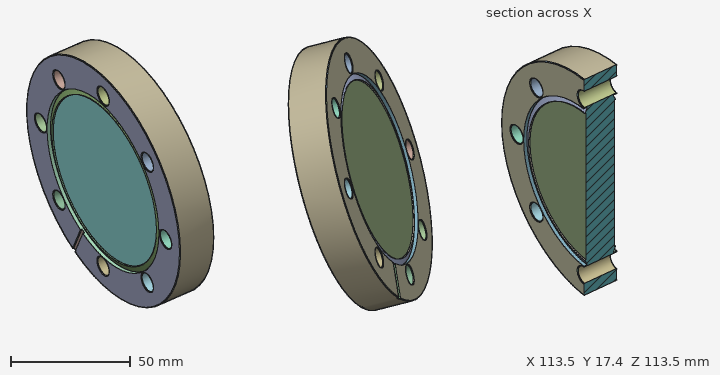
import cadquery as cq

flange_diameter = 113.5
thickness = 17.4
rim_chamfer = 0.3

bolt_count = 8
bolt_circle_diameter = 92.2
bolt_hole_diameter = 8.4
bolt_hole_chamfer = 0.3

recess_diameter = 82.5
recess_depth = 1.7
knife_diameter = 77.2
knife_depth = 0.6
floor_depth = 1.1
floor_diameter = 76.7

leak_groove_width = 1.9
leak_groove_depth = 0.8
leak_groove_angle = 270 - 180 / bolt_count

flange_radius = flange_diameter / 2
face_height = thickness / 2


def make_body():
    disc = cq.Workplane("XY", origin=(0, 0, -face_height)).circle(flange_radius).extrude(thickness)
    return disc.faces("|Z").edges().chamfer(rim_chamfer)


def make_bolt_holes():
    """Eight through-hole cutters, flared at both ends."""
    radius = bolt_hole_diameter / 2
    flared_radius = radius + bolt_hole_chamfer
    straight_height = face_height - bolt_hole_chamfer
    cutter = (
        cq.Workplane("XZ")
        .moveTo(0, -face_height)
        .lineTo(flared_radius, -face_height)
        .lineTo(radius, -straight_height)
        .lineTo(radius, straight_height)
        .lineTo(flared_radius, face_height)
        .lineTo(0, face_height)
        .close()
        .revolve(360, (0, 0, 0), (0, 1, 0))
        .val()
    )
    return (
        cq.Workplane("XY")
        .polarArray(bolt_circle_diameter / 2, 0, 360, bolt_count)
        .eachpoint(lambda place: cutter.moved(place))
    )


def make_seal_recess():
    return (
        cq.Workplane("XZ")
        .moveTo(0, face_height)
        .lineTo(recess_diameter / 2, face_height)
        .lineTo(recess_diameter / 2, face_height - recess_depth)
        .lineTo(knife_diameter / 2, face_height - knife_depth)
        .lineTo(floor_diameter / 2, face_height - floor_depth)
        .lineTo(0, face_height - floor_depth)
        .close()
        .revolve(360, (0, 0, 0), (0, 1, 0))
    )


def make_leak_groove():
    inner_end = (knife_diameter + recess_diameter) / 4
    return (
        cq.Workplane("XY")
        .box(flange_radius, leak_groove_width, 2 * leak_groove_depth, centered=(False, True, True))
        .translate((inner_end, 0, face_height))
        .rotate((0, 0, 0), (0, 0, 1), leak_groove_angle)
    )


flange = make_body().cut(make_bolt_holes())
for cutter in (make_seal_recess(), make_leak_groove()):
    flange = flange.cut(cutter).cut(cutter.mirror("XY"))

result = flange.rotate((0, 0, 0), (1, 0, 0), 90)